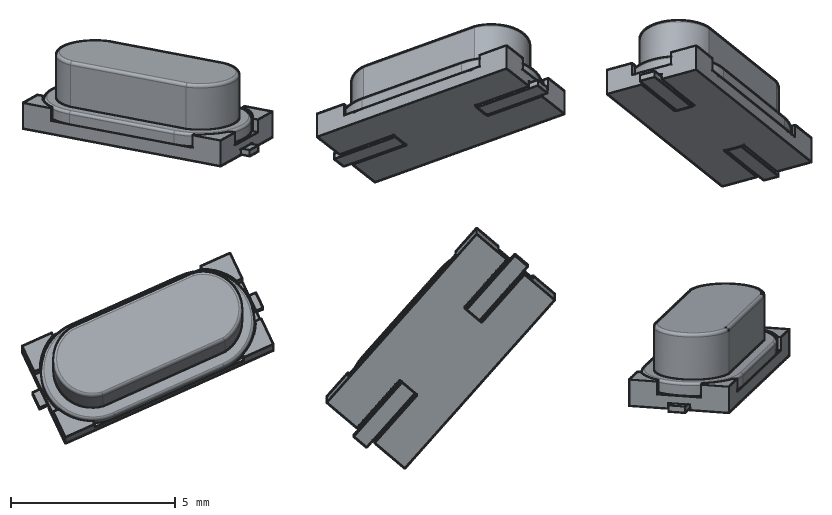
import cadquery as cq

total_height = 2.31
base_bottom = 0.02
base_top = 0.855
flange_top = 0.86
recess_floor = 0.45

base_length = 6.975
base_width = 3.15
side_window_length = 4.995
end_window_width = 1.38
recess_clearance = 0.04

flange_half_length = 3.42
flange_half_width = base_width / 2
flange_straight_half = 1.84
flange_fillet = 0.09

cap_half_length = 3.05
cap_half_width = 1.18
cap_straight_half = 2.04
cap_fillet = 0.105

lead_tip = 3.75
lead_inner_end = 1.5
lead_width = 0.525
lead_thickness = 0.2
groove_width = 0.705


def oval_prism(straight_half, half_length, half_width, bottom, top):
    """Upright prism with two straight sides along X and an arc at each end."""
    return (
        cq.Workplane("XY", origin=(0, 0, bottom))
        .moveTo(-straight_half, -half_width)
        .lineTo(straight_half, -half_width)
        .threePointArc((half_length, 0), (straight_half, half_width))
        .lineTo(-straight_half, half_width)
        .threePointArc((-half_length, 0), (-straight_half, -half_width))
        .close()
        .extrude(top - bottom)
    )


def centred_block(length, width, bottom, top):
    """Block centred on the Z axis."""
    return cq.Workplane("XY", origin=(0, 0, bottom)).rect(length, width).extrude(top - bottom)


def side_block(side, inner_x, outer_x, width, bottom, top):
    """Block between two distances from the centre, on the +X (1) or -X (-1) side."""
    middle = side * (inner_x + outer_x) / 2
    return (
        cq.Workplane("XY", origin=(middle, 0, bottom))
        .rect(outer_x - inner_x, width)
        .extrude(top - bottom)
    )


def lead_post(side):
    """Upright end of a lead, from the flat lead to the underside of the can."""
    post_outer = lead_inner_end + lead_thickness
    return side_block(side, lead_inner_end, post_outer, lead_width, 0, recess_floor)


def make_can():
    """Solid can with its flange, its cap and the two leads that belong to it."""
    flange = oval_prism(
        flange_straight_half, flange_half_length, flange_half_width, recess_floor, flange_top
    )
    flange = flange.faces(">Z").edges().fillet(flange_fillet)
    cap = oval_prism(cap_straight_half, cap_half_length, cap_half_width, recess_floor, total_height)
    cap = cap.faces(">Z").edges().fillet(cap_fillet)
    can = flange.union(cap)
    for side in (-1, 1):
        flat_lead = side_block(side, lead_inner_end, lead_tip, lead_width, 0, lead_thickness)
        can = can.union(flat_lead.union(lead_post(side)))
    return can


def make_base():
    """Base plate with four corner blocks around the can and a groove under each end."""
    base = centred_block(base_length, base_width, base_bottom, base_top)

    recess = oval_prism(
        flange_straight_half,
        flange_half_length + recess_clearance,
        flange_half_width + recess_clearance,
        recess_floor,
        base_top,
    )
    base = base.cut(recess)

    base = base.cut(centred_block(side_window_length, base_width, recess_floor, base_top))
    base = base.cut(centred_block(base_length, end_window_width, recess_floor, base_top))

    for side in (-1, 1):
        groove = side_block(
            side, lead_inner_end, base_length / 2, groove_width, base_bottom, lead_thickness
        )
        base = base.cut(groove).cut(lead_post(side))
    return base


can = make_can()
base = make_base()

result = cq.Compound.makeCompound([can.val(), base.val()])